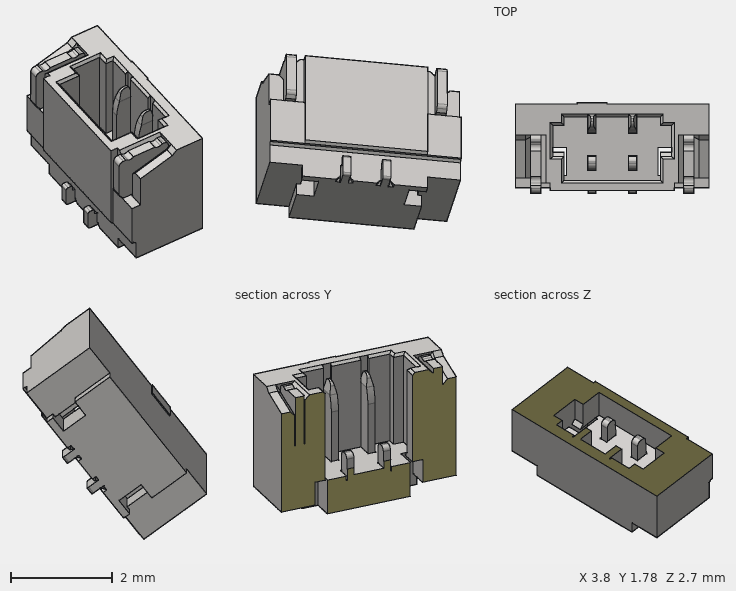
import cadquery as cq
import math


HALF_WIDTH = 1.9
HEIGHT = 2.7
BASE_STEP = 0.25
FOOT_HALF_WIDTH = 1.245
FRONT_HALF_WIDTH = 1.22
LOWER_DEPTH = 1.55
SIDE_DEPTH = 1.65
FRONT_DEPTH = 1.702
STEP_CHAMFER = 0.05
STEP_Z = 0.65

PAD_X_MIN = -0.688
PAD_X_MAX = -0.103
PAD_THICKNESS = 0.023
PAD_Z = 2.2

FLOOR_Z = STEP_Z + 2 * STEP_CHAMFER
CAVITY_BACK = 0.255
CAVITY_FRONT = 1.5
CAVITY_HALF_WIDTH = 0.945
WING_HALF_WIDTH = 1.165
WING_BACK = 0.42
WING_FRONT = 1.035
RIM_CHAMFER = 0.055

OPENING_INNER_X = 0.9
OPENING_BACK = 0.86
OPENING_FRONT = 1.402
RAMP_SIZE = 0.087

POCKET_BACK = 0.608
POCKET_Z = 1.65
POCKET_CHAMFER = 0.1
WALL_BREAK = POCKET_CHAMFER
WALL_FRONT = 1.45
WALL_FRONT_Z = 2.36
NAIL_X = 1.5
SLOT_WIDTH = 0.213
NAIL_WIDTH = 0.198

NAIL_FRONT = 1.755
NAIL_LIFT = 0.05
NAIL_Z = POCKET_Z + NAIL_LIFT
NAIL_TOP_RADIUS = 0.1
NAIL_BEVEL = 0.06
NAIL_CURVE_DEPTH = 0.038
NAIL_CURVE_HEIGHT = 0.085
DIP_RADIUS = 0.11
DIP_DEPTH = 0.035
REAR_DIP = 0.845
FRONT_DIP = 1.5
DIP_RAMP_START = 0.05
DIP_RAMP_END = 0.1

CONTACT_INNER_X = 0.32
CONTACT_WIDTH = 0.155
GROOVE_WIDTH = 0.17
GROOVE_BACK = 0.2
BLADE_FRONT = 0.575
BLADE_SHOULDER_FRONT = 0.51
BLADE_STRAIGHT_Z = 1.825
BLADE_SHOULDER_Z = 2.165
BLADE_TIP_Z = 2.413
BLADE_TIP_BACK = 0.29
BLADE_TIP_FRONT = 0.342
BLADE_HEEL_BACK = 0.247
BLADE_HEEL_Z = 2.38
BLADE_NOSE_FRONT = 0.455
BLADE_NOSE_Z = 2.33
BLADE_TIP_WIDTH = 0.05
POST_BACK = 1.037
POST_FRONT = 1.305
POST_TOP_FRONT = 1.27
POST_Z = 1.2
POST_RADIUS = 0.103
RECESS_DEPTH = 0.1
RECESS_GAP = 0.01
RECESS_POST_GAP = 0.023

TAIL_FRONT = NAIL_FRONT
TAIL_UPRIGHT_BACK = 1.605
TAIL_STRIP_Z = 0.325
TAIL_Z = 0.452
TAIL_RADIUS = 0.05
TAIL_INNER_RADIUS = 0.023
TAIL_SLOT_DEPTH = 0.1
TAIL_FLARE = 0.087


def box(x_range, depth_range, z_range):
    """Block between two X values, two depths and two heights."""
    x0, x1 = x_range
    d0, d1 = depth_range
    z0, z1 = z_range
    return cq.Workplane("XY").box(x1 - x0, d1 - d0, z1 - z0, centered=False).translate((x0, -d1, z0))


def side_sketch(x):
    """Workplane at X = x whose local axes are Y and Z; extrudes along +X."""
    return cq.Workplane("YZ", origin=(x, 0, 0))


def side_prism(points, x0, x1):
    """Prism from (depth, z) corners, spanning x0 to x1."""
    return side_sketch(x0).polyline([(-d, z) for d, z in points]).close().extrude(x1 - x0)


def both_sides(solid):
    """The solid together with its mirror image across X = 0."""
    return solid.union(solid.mirror("YZ"))


def housing_block():
    """Solid housing with the stepped front and the narrow foot."""
    ledge_z = STEP_Z + STEP_CHAMFER
    side_profile = [
        (0, BASE_STEP),
        (LOWER_DEPTH, BASE_STEP),
        (LOWER_DEPTH, STEP_Z),
        (LOWER_DEPTH + STEP_CHAMFER, ledge_z),
        (SIDE_DEPTH, ledge_z),
        (SIDE_DEPTH, HEIGHT),
        (0, HEIGHT),
    ]
    front_profile = [
        (0, ledge_z),
        (FRONT_DEPTH - STEP_CHAMFER, ledge_z),
        (FRONT_DEPTH, ledge_z + STEP_CHAMFER),
        (FRONT_DEPTH, HEIGHT),
        (0, HEIGHT),
    ]
    block = side_prism(side_profile, -HALF_WIDTH, HALF_WIDTH)
    block = block.union(side_prism(front_profile, -FRONT_HALF_WIDTH, FRONT_HALF_WIDTH))
    foot = box((-FOOT_HALF_WIDTH, FOOT_HALF_WIDTH), (0, LOWER_DEPTH), (0, BASE_STEP))
    pad = box((PAD_X_MIN, PAD_X_MAX), (-PAD_THICKNESS, 0), (PAD_Z, HEIGHT))
    return block.union(foot).union(pad)


def pocket_cutter():
    """Right-hand nail pocket: open front, sloped outer wall and narrow slot."""
    slot_inner_x = NAIL_X - SLOT_WIDTH / 2
    slot_outer_x = NAIL_X + SLOT_WIDTH / 2
    above_wall = [
        (POCKET_BACK, HEIGHT),
        (POCKET_BACK + WALL_BREAK, HEIGHT - WALL_BREAK),
        (WALL_FRONT, WALL_FRONT_Z),
        (WALL_FRONT, POCKET_Z),
        (FRONT_DEPTH, POCKET_Z),
        (FRONT_DEPTH, HEIGHT),
    ]
    cutter = side_prism(above_wall, slot_outer_x, HALF_WIDTH)
    slot = box((slot_inner_x, slot_outer_x), (POCKET_BACK, FRONT_DEPTH), (POCKET_Z, HEIGHT))
    shelf = box((FRONT_HALF_WIDTH, slot_inner_x), (LOWER_DEPTH, FRONT_DEPTH), (POCKET_Z, HEIGHT))
    return cutter.union(slot).union(shelf)


def cut_pockets(body):
    """Cut both nail pockets and chamfer the top edges of their slots."""
    body = body.cut(both_sides(pocket_cutter()))
    reach = 0.005
    for side in (-1, 1):
        for offset in (-SLOT_WIDTH / 2, SLOT_WIDTH / 2):
            x = side * (NAIL_X + offset)
            top_edges = cq.selectors.BoxSelector(
                (x - reach, -LOWER_DEPTH, WALL_FRONT_Z),
                (x + reach, -POCKET_BACK, HEIGHT + reach),
            )
            body = body.edges(top_edges).chamfer(POCKET_CHAMFER)
    return body


def cavity_outline(z, growth=0):
    """Outline of the cavity and its side wings at height z, grown outwards all round."""
    half_width = CAVITY_HALF_WIDTH + growth
    wing_half_width = WING_HALF_WIDTH + growth
    right = [
        (half_width, CAVITY_BACK - growth),
        (half_width, WING_BACK - growth),
        (wing_half_width, WING_BACK - growth),
        (wing_half_width, WING_FRONT + growth),
        (half_width, WING_FRONT + growth),
        (half_width, CAVITY_FRONT + growth),
    ]
    left = [(-x, d) for x, d in reversed(right)]
    points = [(x, -d) for x, d in right + left]
    return cq.Workplane("XY", origin=(0, 0, z)).polyline(points).close()


def cut_cavity(body):
    """Cut the mating cavity, its flared rim and the openings through the floor."""
    well = cavity_outline(FLOOR_Z).extrude(HEIGHT - FLOOR_Z)
    rim_bottom = cavity_outline(HEIGHT - RIM_CHAMFER).val()
    rim_top = cavity_outline(HEIGHT, RIM_CHAMFER).val()
    rim = cq.Workplane(cq.Solid.makeLoft([rim_bottom, rim_top], True))
    openings = both_sides(
        box((OPENING_INNER_X, WING_HALF_WIDTH), (OPENING_BACK, OPENING_FRONT), (0, FLOOR_Z))
    )
    foot_notches = both_sides(
        box((OPENING_INNER_X, FOOT_HALF_WIDTH), (OPENING_BACK, OPENING_FRONT), (0, BASE_STEP))
    )
    return body.cut(well).cut(rim).cut(openings).cut(foot_notches)


def wing_ramp():
    """Ramp at the foot of the right-hand wing, leaning on its front wall."""
    profile = [
        (WING_FRONT, FLOOR_Z),
        (WING_FRONT, FLOOR_Z + RAMP_SIZE),
        (WING_FRONT - RAMP_SIZE, FLOOR_Z),
    ]
    return side_prism(profile, CAVITY_HALF_WIDTH, WING_HALF_WIDTH)


def contact_clearance():
    """Right-hand clearances: blade groove, floor recesses and flared tail slot."""
    groove_x = (CONTACT_INNER_X, CONTACT_INNER_X + GROOVE_WIDTH)
    groove = box(groove_x, (GROOVE_BACK, CAVITY_BACK), (FLOOR_Z, HEIGHT))
    recess_z = (FLOOR_Z - RECESS_DEPTH, FLOOR_Z)
    blade_recess = box(groove_x, (GROOVE_BACK, BLADE_FRONT + RECESS_GAP), recess_z)
    post_recess = box(groove_x, (POST_BACK - RECESS_POST_GAP, POST_FRONT), recess_z)
    slot_back = LOWER_DEPTH - TAIL_SLOT_DEPTH
    slot = box(groove_x, (slot_back, LOWER_DEPTH), (0, TAIL_STRIP_Z))
    flare_x = (groove_x[0] - TAIL_FLARE, groove_x[1] + TAIL_FLARE)
    flare_profile = [
        (flare_x[0], 0),
        (flare_x[1], 0),
        (groove_x[1], TAIL_FLARE),
        (groove_x[0], TAIL_FLARE),
    ]
    flare_plane = cq.Workplane("XZ", origin=(0, -slot_back, 0))
    flare = flare_plane.polyline(flare_profile).close().extrude(TAIL_SLOT_DEPTH)
    flare_slope = side_prism(
        [(LOWER_DEPTH - TAIL_FLARE, 0), (LOWER_DEPTH, 0), (LOWER_DEPTH, TAIL_FLARE)], *flare_x
    )
    recesses = groove.union(blade_recess).union(post_recess)
    return recesses.union(slot).union(flare.intersect(flare_slope))


def blade():
    """Right-hand mating blade with a rounded tip that tapers in width."""
    side_shape = (
        side_sketch(CONTACT_INNER_X)
        .moveTo(-GROOVE_BACK, FLOOR_Z - RECESS_DEPTH)
        .lineTo(-GROOVE_BACK, BLADE_SHOULDER_Z)
        .lineTo(-BLADE_HEEL_BACK, BLADE_HEEL_Z)
        .tangentArcPoint((-BLADE_TIP_BACK, BLADE_TIP_Z), relative=False)
        .lineTo(-BLADE_TIP_FRONT, BLADE_TIP_Z)
        .tangentArcPoint((-BLADE_NOSE_FRONT, BLADE_NOSE_Z), relative=False)
        .lineTo(-BLADE_SHOULDER_FRONT, BLADE_SHOULDER_Z)
        .tangentArcPoint((-BLADE_FRONT, BLADE_STRAIGHT_Z), relative=False)
        .lineTo(-BLADE_FRONT, FLOOR_Z - RECESS_DEPTH)
        .close()
        .extrude(CONTACT_WIDTH)
    )
    taper_side = (CONTACT_WIDTH - BLADE_TIP_WIDTH) / 2
    outer_x = CONTACT_INNER_X + CONTACT_WIDTH
    front_taper = (
        cq.Workplane("XZ")
        .polyline([
            (CONTACT_INNER_X, 0),
            (CONTACT_INNER_X, BLADE_SHOULDER_Z),
            (CONTACT_INNER_X + taper_side, BLADE_TIP_Z),
            (outer_x - taper_side, BLADE_TIP_Z),
            (outer_x, BLADE_SHOULDER_Z),
            (outer_x, 0),
        ])
        .close()
        .extrude(LOWER_DEPTH)
    )
    return side_shape.intersect(front_taper)


def post():
    """Right-hand rounded post rising from the floor in front of the blade."""
    root_z = FLOOR_Z - RECESS_DEPTH
    profile = [(POST_BACK, root_z), (POST_BACK, POST_Z), (POST_TOP_FRONT, POST_Z), (POST_FRONT, root_z)]
    blank = side_prism(profile, CONTACT_INNER_X, CONTACT_INNER_X + CONTACT_WIDTH)
    return blank.edges("|X and >Z").fillet(POST_RADIUS)


def tail():
    """Right-hand solder tail: a strip through the foot with an upright end."""
    contact_x = (CONTACT_INNER_X, CONTACT_INNER_X + CONTACT_WIDTH)
    strip = box(contact_x, (LOWER_DEPTH - TAIL_SLOT_DEPTH, TAIL_FRONT), (0, TAIL_STRIP_Z))
    upright = box(contact_x, (TAIL_UPRIGHT_BACK, TAIL_FRONT), (0, TAIL_Z))
    inner_corner = cq.selectors.NearestToPointSelector(
        (CONTACT_INNER_X + CONTACT_WIDTH / 2, -TAIL_UPRIGHT_BACK, TAIL_STRIP_Z)
    )
    bent = strip.union(upright).edges(inner_corner).fillet(TAIL_INNER_RADIUS)
    return bent.edges("|X and (>Z or (<Y and <Z))").fillet(TAIL_RADIUS)


def nail():
    """Right-hand solder nail with a dip near each end of its top edge."""
    dip_z = HEIGHT - DIP_DEPTH
    arc_half_width = math.sqrt(DIP_RADIUS**2 - (DIP_RADIUS - DIP_DEPTH) ** 2)
    ramp_foot_z = dip_z + DIP_RADIUS - math.sqrt(DIP_RADIUS**2 - DIP_RAMP_START**2)
    bevel_front = NAIL_FRONT - NAIL_CURVE_DEPTH
    bevel_top_z = NAIL_Z + NAIL_BEVEL
    return (
        side_sketch(NAIL_X - NAIL_WIDTH / 2)
        .moveTo(-POCKET_BACK, POCKET_Z)
        .lineTo(-POCKET_BACK, HEIGHT - NAIL_TOP_RADIUS)
        .radiusArc((-POCKET_BACK - NAIL_TOP_RADIUS, HEIGHT), -NAIL_TOP_RADIUS)
        .lineTo(-REAR_DIP + DIP_RAMP_END, HEIGHT)
        .lineTo(-REAR_DIP + DIP_RAMP_START, ramp_foot_z)
        .threePointArc((-REAR_DIP, dip_z), (-REAR_DIP - arc_half_width, HEIGHT))
        .lineTo(-FRONT_DIP + arc_half_width, HEIGHT)
        .threePointArc((-FRONT_DIP, dip_z), (-FRONT_DIP - DIP_RAMP_START, ramp_foot_z))
        .lineTo(-FRONT_DIP - DIP_RAMP_END, HEIGHT)
        .lineTo(-NAIL_FRONT + NAIL_TOP_RADIUS, HEIGHT)
        .radiusArc((-NAIL_FRONT, HEIGHT - NAIL_TOP_RADIUS), -NAIL_TOP_RADIUS)
        .lineTo(-NAIL_FRONT, bevel_top_z + NAIL_CURVE_HEIGHT)
        .tangentArcPoint((-bevel_front, bevel_top_z), relative=False)
        .lineTo(-bevel_front + NAIL_BEVEL, NAIL_Z)
        .lineTo(-WALL_FRONT, NAIL_Z)
        .lineTo(-WALL_FRONT, POCKET_Z)
        .close()
        .extrude(NAIL_WIDTH)
    )


housing = cut_cavity(cut_pockets(housing_block()))
housing = housing.union(both_sides(wing_ramp())).cut(both_sides(contact_clearance()))

result = housing
for metal_piece in (blade(), post(), tail(), nail()):
    result = result.union(both_sides(metal_piece))